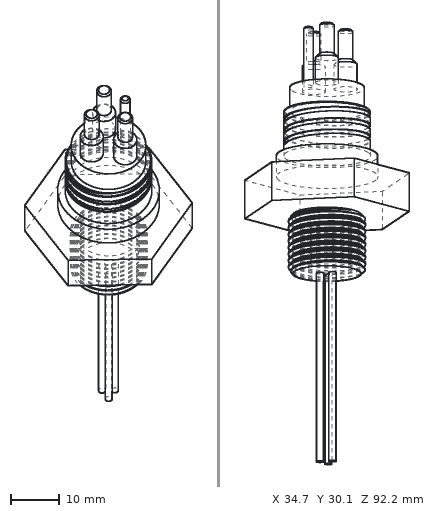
import cadquery as cq
import math

overall_height = 92.2
wire_length = 40.1
mount_thread_length = 12.45
hex_thickness = 8.2
collar_height = 4.4
coupling_height = 9.5
insert_height = 5.0

hex_bottom = wire_length + mount_thread_length
hex_top = hex_bottom + hex_thickness
collar_top = hex_top + collar_height
coupling_top = collar_top + coupling_height
insert_top = coupling_top + insert_height

hex_across_corners = 34.7
collar_diameter = 21.0
coupling_diameter = 18.0
coupling_chamfer = 0.3
insert_diameter = 15.5

mount_diameter = 15.95
mount_root_diameter = 14.7
mount_pitch = 1.4
mount_groove_mouth = 1.1
mount_groove_floor = 0.2
mount_chamfer = 0.9
mount_groove_angle = 250.0

coupling_root_diameter = 17.5
coupling_pitch = 2.4
coupling_groove_mouth = 0.9
coupling_groove_floor = 0.8
coupling_groove_bottom = 67.7
coupling_groove_angle = 80.0

pin_diameter = 3.0
pin_base_diameter = 4.8
pin_base_height = 5.3
pin_tip_chamfer = 0.4
side_pin_x = 4.2
side_pin_y = 1.5
center_pin_y = -4.1
key_pin_diameter = 2.0
key_pin_y = -center_pin_y

wire_diameter = 1.5
wire_circle_diameter = 3.0
wire_count = 3

overlap = 0.9


def cylinder(diameter, bottom, top, x=0.0, y=0.0):
    """Upright cylinder between two heights."""
    return cq.Workplane("XY", origin=(x, y, bottom)).circle(diameter / 2).extrude(top - bottom)


def thread_groove(major, root, pitch, mouth, floor, start_z, end_z):
    """Right-handed helical cutter whose lower end lies on the +X side."""
    depth = (major - root) / 2
    outer_radius = major / 2 + depth
    outer_half_width = mouth - floor / 2
    root_radius = root / 2
    path = cq.Wire.makeHelix(pitch, end_z - start_z, root_radius)
    cutter = (
        cq.Workplane("XZ")
        .moveTo(root_radius, -floor / 2)
        .lineTo(outer_radius, -outer_half_width)
        .lineTo(outer_radius, outer_half_width)
        .lineTo(root_radius, floor / 2)
        .close()
        .sweep(cq.Workplane(obj=path), isFrenet=True)
    )
    return cutter.translate((0, 0, start_z))


def turned(body, angle):
    """Turn a body about the part axis so that its groove begins at this angle from +X."""
    return body.rotate((0, 0, 0), (0, 0, 1), angle)


def mount_section():
    """Threaded stem chamfered at both ends."""
    stem = cylinder(mount_diameter, wire_length, hex_bottom).edges().chamfer(mount_chamfer)
    groove = thread_groove(
        mount_diameter, mount_root_diameter, mount_pitch, mount_groove_mouth, mount_groove_floor,
        wire_length - mount_pitch, hex_bottom + mount_pitch,
    )
    return turned(stem.cut(groove), mount_groove_angle)


def coupling_section():
    """Coupling barrel with a shallow, nearly square groove that runs out at its top."""
    barrel = cylinder(coupling_diameter, collar_top, coupling_top)
    barrel = barrel.faces(">Z").edges().chamfer(coupling_chamfer)
    groove = thread_groove(
        coupling_diameter, coupling_root_diameter, coupling_pitch, coupling_groove_mouth,
        coupling_groove_floor, coupling_groove_bottom, coupling_top + coupling_pitch,
    )
    return turned(barrel.cut(groove), coupling_groove_angle)


def contact_pin(x, y):
    """Pin standing on a thicker base with a 45 degree taper down to the pin diameter."""
    pin_radius = pin_diameter / 2
    base_radius = pin_base_diameter / 2
    base_top = insert_top + pin_base_height
    base = cylinder(pin_base_diameter, insert_top - overlap, base_top, x, y)
    taper = cq.Solid.makeCone(
        base_radius, pin_radius, base_radius - pin_radius, pnt=cq.Vector(x, y, base_top)
    )
    pin = cylinder(pin_diameter, insert_top, overall_height, x, y)
    return base.union(cq.Workplane(obj=taper)).union(pin.faces(">Z").edges().chamfer(pin_tip_chamfer))


def key_pin():
    """Thin plain pin that sets the mating orientation."""
    pin = cylinder(key_pin_diameter, insert_top - overlap, overall_height, 0.0, key_pin_y)
    return pin.faces(">Z").edges().chamfer(pin_tip_chamfer)


def lead_wire(angle):
    """Wire hanging from the stem at an angle, in radians, from +X."""
    x = wire_circle_diameter / 2 * math.cos(angle)
    y = wire_circle_diameter / 2 * math.sin(angle)
    return cylinder(wire_diameter, 0.0, wire_length + overlap, x, y)


hexagon = (
    cq.Workplane("XY", origin=(0, 0, hex_bottom))
    .polygon(6, hex_across_corners)
    .extrude(hex_thickness)
)

pin_positions = [(side_pin_x, side_pin_y), (-side_pin_x, side_pin_y), (0.0, center_pin_y)]

result = (
    hexagon
    .union(mount_section())
    .union(cylinder(collar_diameter, hex_top, collar_top))
    .union(coupling_section())
    .union(cylinder(insert_diameter, coupling_top, insert_top))
)
for pin_x, pin_y in pin_positions:
    result = result.union(contact_pin(pin_x, pin_y))
result = result.union(key_pin())
for index in range(wire_count):
    result = result.union(lead_wire(math.pi / 2 + 2 * math.pi * index / wire_count))